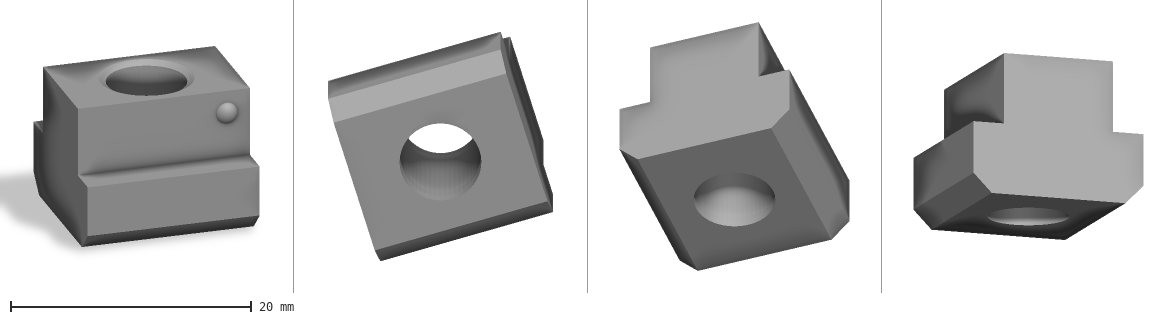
import cadquery as cq

length = 15.0
base_width = 15.0
height = 12.0
neck_width = 9.6
shoulder_height = height / 2
base_chamfer = 1.6

hole_diameter = 6.8
countersink_diameter = 8.0
countersink_angle = 120.0

ball_radius = 1.0
ball_protrusion = 0.65
ball_x = neck_width / 2 + ball_protrusion - ball_radius
ball_y = 5.49
ball_z = 10.0


def make_body():
    """Extrude the T profile and bevel its two lower edges."""
    base = cq.Workplane("XY").box(base_width, length, shoulder_height, centered=(True, True, False))
    base = base.edges("|Y and <Z").chamfer(base_chamfer)
    neck = cq.Workplane("XY").box(neck_width, length, height, centered=(True, True, False))
    return base.union(neck)


def cut_hole(body):
    """Drill the through hole with a conical entry at the top."""
    return (
        body.faces(">Z")
        .workplane(origin=(0, 0, height))
        .cskHole(hole_diameter, countersink_diameter, countersink_angle)
    )


def make_ball():
    """Place the ball with its seam turned towards -X, inside the neck."""
    ball = cq.Workplane("XY").sphere(ball_radius)
    ball = ball.rotate((0, 0, 0), (0, 0, 1), 180)
    return ball.translate((ball_x, ball_y, ball_z))


result = cut_hole(make_body()).union(make_ball())